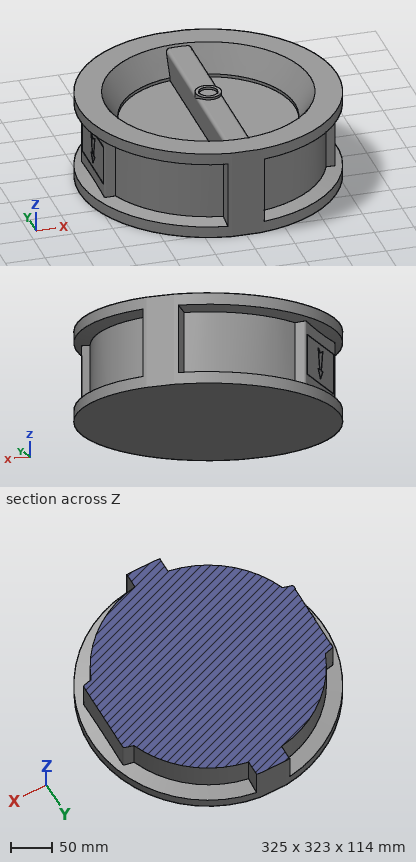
import math

import cadquery as cq

body_radius = 162.5
height = 114.0
half_depth = 161.5
rim_thickness = 14.5
root_thickness = 18.2
neck_radius = 143.0
mid_height = height / 2

pad_width = 46.0

plate_half_span = 145.5
plate_face_width = 99.8
plate_draft = 15.0
plate_fillet = 3.0
panel_width = 89.0
panel_height = 50.0
panel_depth = 0.5

arrow_half_width = 7.6
arrow_half_length = 18.5
arrow_shaft_half_width = 2.7
arrow_head_length = 11.0
arrow_tail_notch = 4.5

mouth_radius = 129.0
throat_radius = 109.5
cone_depth = 33.5
disc_depth = 37.5

bar_width = 32.0
bar_drop = 3.0
bar_fillet = 4.5
boss_radius = bar_width / 2
boss_hole_radius = 11.5
boss_hole_depth = bar_drop


def make_body():
    """Spool with two flanges whose inner faces taper towards the neck."""
    profile = [
        (0, 0),
        (body_radius, 0),
        (body_radius, rim_thickness),
        (neck_radius, root_thickness),
        (neck_radius, height - root_thickness),
        (body_radius, height - rim_thickness),
        (body_radius, height),
        (0, height),
    ]
    return cq.Workplane("XZ").polyline(profile).close().revolve(360, (0, 0), (0, 1))


def make_pads():
    """Full-height blocks on the front and back, rounded to the flange radius."""
    block = cq.Workplane("XY").rect(pad_width, 2 * body_radius).extrude(height)
    return block.intersect(cq.Workplane("XY").circle(body_radius).extrude(height))


def make_nameplate():
    """Drafted block with rounded upright edges, facing -X and ending inside the flanges."""
    spread = plate_half_span * math.tan(math.radians(plate_draft))
    outline = [
        (-plate_half_span, -plate_face_width / 2),
        (-plate_half_span, plate_face_width / 2),
        (0, plate_face_width / 2 + spread),
        (0, -plate_face_width / 2 - spread),
    ]
    return (
        cq.Workplane("XY")
        .workplane(offset=rim_thickness)
        .polyline(outline)
        .close()
        .extrude(height - 2 * rim_thickness)
        .edges("|Z and <X")
        .fillet(plate_fillet)
    )


def make_panel_recess():
    """Shallow rectangular recess in the nameplate on the -X side."""
    return cq.Workplane("XY").box(2 * panel_depth, panel_width, panel_height).translate(
        (-plate_half_span, 0, mid_height)
    )


def make_arrow():
    """Flow arrow with a flared, notched tail, flush with the nameplate face."""
    shoulder = arrow_head_length - arrow_half_length
    plus_y_half = [
        (arrow_half_width, shoulder),
        (arrow_shaft_half_width, shoulder),
        (arrow_half_width, arrow_half_length),
    ]
    minus_y_half = [(-y, z) for y, z in reversed(plus_y_half)]
    tip = (0, -arrow_half_length)
    notch = (0, arrow_half_length - arrow_tail_notch)
    return (
        cq.Workplane("YZ", origin=(-plate_half_span, 0, mid_height))
        .polyline([tip] + plus_y_half + [notch] + minus_y_half)
        .close()
        .extrude(2 * panel_depth)
    )


def make_inlet():
    """Conical mouth with a short straight throat down to the disc."""
    profile = [
        (0, height - disc_depth),
        (throat_radius, height - disc_depth),
        (throat_radius, height - cone_depth),
        (mouth_radius, height),
        (0, height),
    ]
    return cq.Workplane("XZ").polyline(profile).close().revolve(360, (0, 0), (0, 1))


def make_bar(inlet):
    """Cross bar spanning the inlet along Y, its ends trimmed by the cone."""
    bar = (
        cq.Workplane("XY")
        .workplane(offset=height - disc_depth)
        .rect(bar_width, 2 * mouth_radius)
        .extrude(disc_depth - bar_drop)
        .edges("|Y and >Z")
        .fillet(bar_fillet)
    )
    return bar.intersect(inlet)


def make_boss():
    """Ring-shaped boss standing on the middle of the bar."""
    boss = (
        cq.Workplane("XY")
        .workplane(offset=height - bar_drop - bar_fillet)
        .circle(boss_radius)
        .extrude(bar_drop + bar_fillet)
    )
    return boss.faces(">Z").workplane().hole(2 * boss_hole_radius, boss_hole_depth)


inlet = make_inlet()
flat_limits = cq.Workplane("XY").rect(2 * body_radius, 2 * half_depth).extrude(height)

plate = make_nameplate()
opposite_plate = plate.mirror("YZ")

result = make_body().union(make_pads()).union(plate).union(opposite_plate)
result = result.intersect(flat_limits)
result = result.cut(inlet).cut(make_panel_recess()).union(make_arrow())
result = result.union(make_bar(inlet)).union(make_boss())